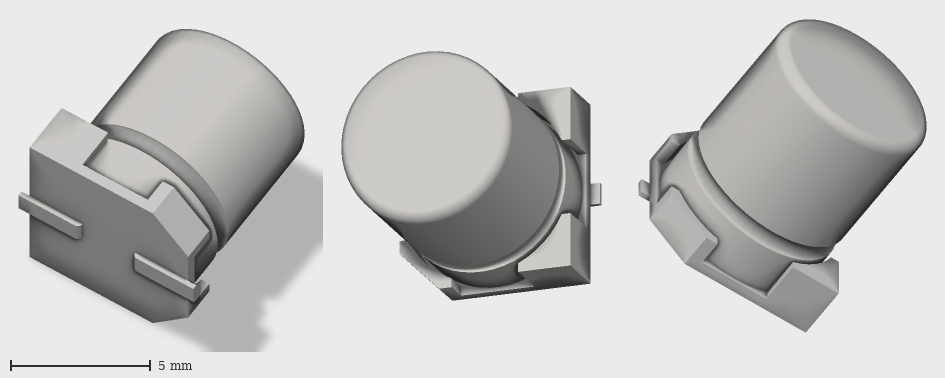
import cadquery as cq
import math


total_length = 8.3
lead_span = 7.5
base_width = 6.8

floor_thickness = 0.41
tall_wall_height = 2.08
low_wall_height = 1.38
notch_width = 2.805
corner_chamfer = 1.52
bore_diameter = 6.74

can_diameter = 6.5
can_end_fillet = 0.4
groove_radius = 0.35
groove_center_y = 2.51

lead_thickness = 0.2
lead_width = 0.8
lead_length = 2.615

can_radius = can_diameter / 2
can_end_y = total_length - lead_thickness
half_width = base_width / 2


def block(x_size, y_size, z_size, y_start):
    """Box centred on the can axis, reaching from y_start towards +Y."""
    return cq.Workplane("XY").box(x_size, y_size, z_size).translate((0, y_start + y_size / 2, 0))


def make_base():
    """Square tray with two chamfered corners and four corner posts around the can."""
    base = block(base_width, tall_wall_height, base_width, 0)
    base = base.edges("|Y and >X").chamfer(corner_chamfer)

    step = block(base_width, tall_wall_height, base_width, low_wall_height)
    base = base.cut(step.translate((half_width, 0, 0)))

    base = base.cut(block(base_width, tall_wall_height, notch_width, floor_thickness))
    base = base.cut(block(notch_width, tall_wall_height, base_width, floor_thickness))

    bore = cq.Workplane("XZ", origin=(0, floor_thickness, 0)).circle(bore_diameter / 2)
    base = base.cut(bore.extrude(-tall_wall_height))
    return cq.Workplane("XY").newObject(base.solids().vals())


def make_can():
    """Round can standing on the base floor, with a half-round groove and a rounded end."""
    fillet_middle = can_end_fillet * (1 - math.sqrt(0.5))
    return (
        cq.Workplane("XY")
        .moveTo(0, floor_thickness)
        .lineTo(can_radius, floor_thickness)
        .lineTo(can_radius, groove_center_y - groove_radius)
        .threePointArc(
            (can_radius - groove_radius, groove_center_y),
            (can_radius, groove_center_y + groove_radius),
        )
        .lineTo(can_radius, can_end_y - can_end_fillet)
        .threePointArc(
            (can_radius - fillet_middle, can_end_y - fillet_middle),
            (can_radius - can_end_fillet, can_end_y),
        )
        .lineTo(0, can_end_y)
        .close()
        .revolve(360, (0, 0, 0), (0, 1, 0))
    )


def make_lead(turn):
    """Flat lead under the base with a rounded inner end, turned about the can axis."""
    outer_x = lead_span / 2
    inner_x = outer_x - lead_length
    arc_middle = lead_thickness * math.sqrt(0.5)
    return (
        cq.Workplane("XY")
        .moveTo(inner_x, 0)
        .threePointArc(
            (inner_x + lead_thickness - arc_middle, -arc_middle),
            (inner_x + lead_thickness, -lead_thickness),
        )
        .lineTo(outer_x, -lead_thickness)
        .lineTo(outer_x, 0)
        .close()
        .extrude(lead_width / 2, both=True)
        .rotate((0, 0, 0), (0, 1, 0), turn)
    )


base = make_base()
can = make_can()
leads = [make_lead(turn) for turn in (0, 180)]

result = cq.Compound.makeCompound([base.val(), can.val(), *[lead.val() for lead in leads]])